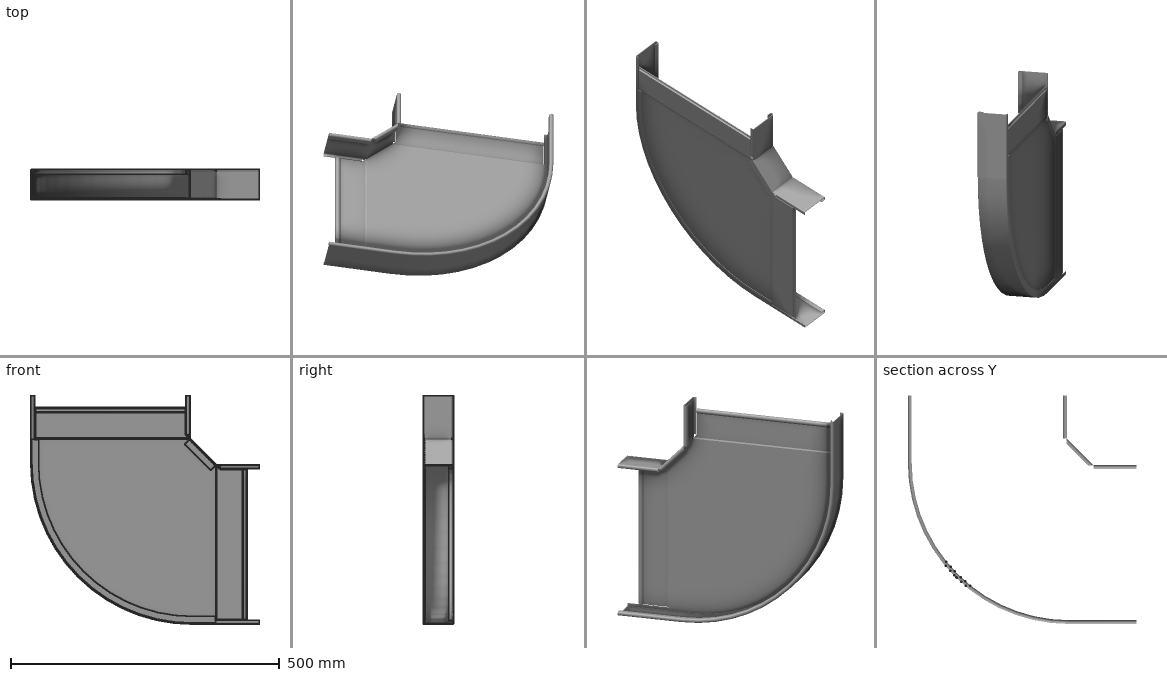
import cadquery as cq
import math


LENGTH = 425.0
HEIGHT = 57.0
SHEET = 1.3
BASE_BEND = 2.0
LIP_BEND = 3.5
CURVE_RADIUS = 300.0
LIP_WIDTH = 7.5
LIP_RETURN = 9.8
ARM_FLANGE = 7.2
PLATE_FLANGE = 14.5
INNER_FACE = 296.2
WEB_CORNER = 345.0
WEB_ANGLE = 45
ARM_RELIEF = 7.2
FLANGE_STEP = 343.0
PLATE_END = 344.0
JOGGLE_LENGTH = 2.5
TONGUE_END = 403.0
TONGUE_GAP = 1.3
BEAD_WIDTH = 6.5
BEAD_DEPTH = 2.75
BEAD_TO_END = 1.5

DIAGONAL = math.sqrt(0.5)
WEB_LENGTH = (WEB_CORNER - INNER_FACE) / DIAGONAL
WEB_TRIM = (BASE_BEND - SHEET) * math.tan(math.radians(WEB_ANGLE / 2))
MIRROR_NORMAL = cq.Vector(1, 0, -1)


def front_plane(y):
    """Plane parallel to the base: local axes are X and Z, and negative extrusions go to +Y."""
    return cq.Workplane(cq.Plane((0, y, 0), (1, 0, 0), (0, -1, 0)))


def both_halves(half):
    """Join a half with its mirror image across the plane x = z."""
    return half.union(half.mirror(MIRROR_NORMAL))


def rail_section(plane, flange_width):
    """Bent sheet section. Local x is the inset from the outer face, local y the height."""
    lip_fold = LIP_WIDTH - LIP_BEND
    upper_bend = HEIGHT - LIP_BEND
    return_end = HEIGHT - LIP_RETURN
    return (
        cq.Workplane(plane)
        .moveTo(flange_width, 0)
        .lineTo(BASE_BEND, 0)
        .tangentArcPoint((0, BASE_BEND), relative=False)
        .lineTo(0, upper_bend)
        .tangentArcPoint((LIP_BEND, HEIGHT), relative=False)
        .lineTo(lip_fold, HEIGHT)
        .tangentArcPoint((LIP_WIDTH, upper_bend), relative=False)
        .lineTo(LIP_WIDTH, return_end)
        .lineTo(LIP_WIDTH - SHEET, return_end)
        .lineTo(LIP_WIDTH - SHEET, upper_bend)
        .tangentArcPoint((lip_fold, HEIGHT - SHEET), relative=False)
        .lineTo(LIP_BEND, HEIGHT - SHEET)
        .tangentArcPoint((SHEET, upper_bend), relative=False)
        .lineTo(SHEET, BASE_BEND)
        .tangentArcPoint((BASE_BEND, SHEET), relative=False)
        .lineTo(flange_width, SHEET)
        .close()
    )


def outer_plane(z):
    """Section plane across the outer rail's upright arm."""
    return cq.Plane((0, 0, z), (1, 0, 0), (0, 0, 1))


def make_outer_rail():
    """Quarter-round rail with a straight arm at each end."""
    root_length = FLANGE_STEP - CURVE_RADIUS
    arm_root = rail_section(outer_plane(CURVE_RADIUS), PLATE_FLANGE).extrude(root_length)
    arm = rail_section(outer_plane(FLANGE_STEP), ARM_FLANGE).extrude(LENGTH - FLANGE_STEP)
    curve = rail_section(outer_plane(CURVE_RADIUS), PLATE_FLANGE).revolve(
        90, (CURVE_RADIUS, 0), (CURVE_RADIUS, -1)
    )
    return curve.union(both_halves(arm_root.union(arm)))


def make_web_bend():
    """Bent wall between an arm of the inner rail and the web, clear of the flange and lip."""
    web_tangent = WEB_TRIM * DIAGONAL
    arm_tangent = WEB_CORNER + WEB_TRIM
    inset = SHEET * DIAGONAL
    return (
        front_plane(BASE_BEND)
        .moveTo(INNER_FACE - SHEET, arm_tangent)
        .lineTo(INNER_FACE, arm_tangent)
        .radiusArc((INNER_FACE + web_tangent, WEB_CORNER - web_tangent), -(BASE_BEND - SHEET))
        .lineTo(INNER_FACE + web_tangent - inset, WEB_CORNER - web_tangent - inset)
        .radiusArc((INNER_FACE - SHEET, arm_tangent), BASE_BEND)
        .close()
        .extrude(-(HEIGHT - LIP_BEND - BASE_BEND))
    )


def make_inner_arm():
    """Arm towards +Z. Its flange stops short of the web, its wall and lip do not."""
    arm_plane = cq.Plane((INNER_FACE, 0, LENGTH), (-1, 0, 0), (0, 0, -1))
    arm = rail_section(arm_plane, ARM_FLANGE).extrude(LENGTH - WEB_CORNER - WEB_TRIM)
    relief = cq.Workplane("XY").box(ARM_FLANGE - BASE_BEND, SHEET, ARM_RELIEF, centered=False)
    return arm.cut(relief.translate((INNER_FACE - ARM_FLANGE, 0, WEB_CORNER)))


def make_web():
    """45 degree web, with its lip mitred so that it stays clear of the lips of both arms."""
    start = WEB_TRIM * DIAGONAL
    web_plane = cq.Plane((INNER_FACE + start, 0, WEB_CORNER - start), (-1, 0, -1), (1, 0, -1))
    web = rail_section(web_plane, PLATE_FLANGE).extrude(WEB_LENGTH - 2 * WEB_TRIM)
    lip_space = (
        cq.Workplane("XY")
        .box(INNER_FACE - SHEET, LIP_RETURN, LENGTH, centered=False)
        .translate((0, HEIGHT - LIP_RETURN, 0))
    )
    return web.cut(lip_space).cut(lip_space.mirror(MIRROR_NORMAL))


def make_inner_rail():
    return make_web().union(both_halves(make_inner_arm().union(make_web_bend())))


def make_tongue():
    """Tongue towards +Z, with the joggle at its root and a stiffening bead near its end."""
    joggle_end = PLATE_END + JOGGLE_LENGTH
    bead_end = TONGUE_END - BEAD_TO_END
    bead_start = bead_end - BEAD_WIDTH
    bead_middle = bead_end - BEAD_WIDTH / 2
    bent_sheet = (
        cq.Workplane("YZ")
        .moveTo(SHEET, PLATE_END)
        .lineTo(0, joggle_end)
        .lineTo(0, bead_start)
        .threePointArc((BEAD_DEPTH, bead_middle), (0, bead_end))
        .lineTo(0, TONGUE_END)
        .lineTo(SHEET, TONGUE_END)
        .lineTo(SHEET, bead_end + SHEET)
        .threePointArc((BEAD_DEPTH + SHEET, bead_middle), (SHEET, bead_start - SHEET))
        .lineTo(SHEET, joggle_end)
        .lineTo(2 * SHEET, PLATE_END)
        .close()
        .extrude(LENGTH)
    )
    left = ARM_FLANGE + TONGUE_GAP
    right = INNER_FACE - ARM_FLANGE - TONGUE_GAP
    root_right = INNER_FACE - BASE_BEND
    outline = (
        front_plane(0)
        .polyline([
            (left, PLATE_END),
            (root_right, PLATE_END),
            (root_right, joggle_end),
            (right, joggle_end + root_right - right),
            (right, LENGTH),
            (left, LENGTH),
        ])
        .close()
        .extrude(-HEIGHT)
    )
    return bent_sheet.intersect(outline)


def make_base_plate():
    """Flat plate behind the wide flanges, with a tongue towards +Z and one towards +X."""
    edge = BASE_BEND
    arc_inset = CURVE_RADIUS - (CURVE_RADIUS - edge) * DIAGONAL
    web_edge = INNER_FACE + WEB_CORNER - edge / DIAGONAL - PLATE_END
    plate = (
        front_plane(SHEET)
        .moveTo(edge, CURVE_RADIUS)
        .threePointArc((arc_inset, arc_inset), (CURVE_RADIUS, edge))
        .lineTo(PLATE_END, edge)
        .lineTo(PLATE_END, web_edge)
        .lineTo(web_edge, PLATE_END)
        .lineTo(edge, PLATE_END)
        .close()
        .extrude(-SHEET)
    )
    return plate.union(both_halves(make_tongue()))


outer_rail = make_outer_rail()
inner_rail = make_inner_rail()
base_plate = make_base_plate()

result = cq.Compound.makeCompound([outer_rail.val(), inner_rail.val(), base_plate.val()])